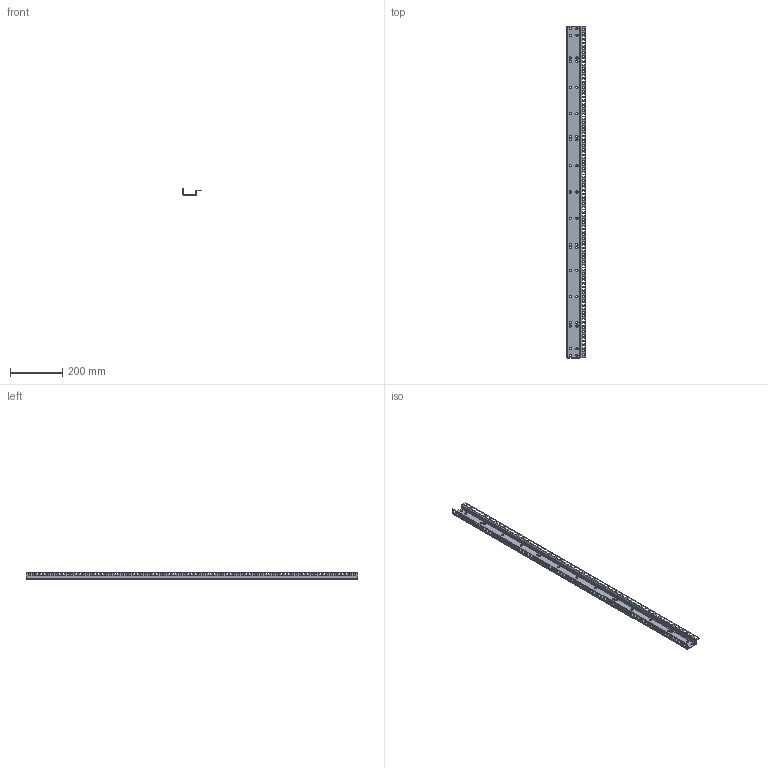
import cadquery as cq

width = 70.0
length = 1270.0
height = 25.0

sheet = 2.0
inner_radius = 2.0
outer_radius = inner_radius + sheet
web_outer_x = 52.0
flange_top_z = 20.0

rack_unit = 44.45
unit_count = 28
wide_gap = 15.875
square_size = 9.5
square_edge_distance = 7.0
rack_span = unit_count * rack_unit
first_square_y = (length - rack_span) / 2

round_diameter = 8.5
round_columns = (13.5, 38.5)
round_pitch = 100.0
pitches_each_side = 6
extra_end_distances = (10.5, 122.5, 422.5)

overrun = 1.0
cut_depth = sheet + 2 * overrun


def make_rail():
    """Constant section along Y, from the top of the wall down its outer side and back along the inside."""
    web_inner_x = web_outer_x - sheet
    flange_bottom_z = flange_top_z - sheet
    section = (
        cq.Workplane("XZ")
        .moveTo(0, height)
        .lineTo(0, outer_radius)
        .radiusArc((outer_radius, 0), -outer_radius)
        .lineTo(web_outer_x - outer_radius, 0)
        .radiusArc((web_outer_x, outer_radius), -outer_radius)
        .lineTo(web_outer_x, flange_bottom_z - inner_radius)
        .radiusArc((web_outer_x + inner_radius, flange_bottom_z), inner_radius)
        .lineTo(width, flange_bottom_z)
        .lineTo(width, flange_top_z)
        .lineTo(web_inner_x + outer_radius, flange_top_z)
        .radiusArc((web_inner_x, flange_top_z - outer_radius), -outer_radius)
        .lineTo(web_inner_x, outer_radius)
        .radiusArc((web_inner_x - inner_radius, sheet), inner_radius)
        .lineTo(outer_radius, sheet)
        .radiusArc((sheet, outer_radius), inner_radius)
        .lineTo(sheet, height)
        .close()
    )
    return section.extrude(-length)


def square_positions():
    """Y of the rack holes: wide, narrow, wide gap in each unit, plus the closing hole."""
    positions = []
    for unit in range(unit_count):
        unit_start = first_square_y + unit * rack_unit
        positions += [unit_start, unit_start + wide_gap, unit_start + rack_unit - wide_gap]
    positions.append(first_square_y + rack_span)
    return positions


def round_positions():
    """Y of the base holes: an even row about the middle, plus pairs measured from both ends."""
    steps = range(-pitches_each_side, pitches_each_side + 1)
    positions = [length / 2 + step * round_pitch for step in steps]
    for distance in extra_end_distances:
        positions += [distance, length - distance]
    return positions


def flange_squares():
    centres = [(width - square_edge_distance, y) for y in square_positions()]
    start = cq.Workplane("XY", origin=(0, 0, flange_top_z - sheet - overrun))
    return start.pushPoints(centres).rect(square_size, square_size).extrude(cut_depth)


def wall_squares():
    centres = [(y, height - square_edge_distance) for y in square_positions()]
    start = cq.Workplane("YZ", origin=(-overrun, 0, 0))
    return start.pushPoints(centres).rect(square_size, square_size).extrude(cut_depth)


def base_holes():
    centres = [(x, y) for x in round_columns for y in round_positions()]
    start = cq.Workplane("XY", origin=(0, 0, -overrun))
    return start.pushPoints(centres).circle(round_diameter / 2).extrude(cut_depth)


result = make_rail().cut(flange_squares()).cut(wall_squares()).cut(base_holes())